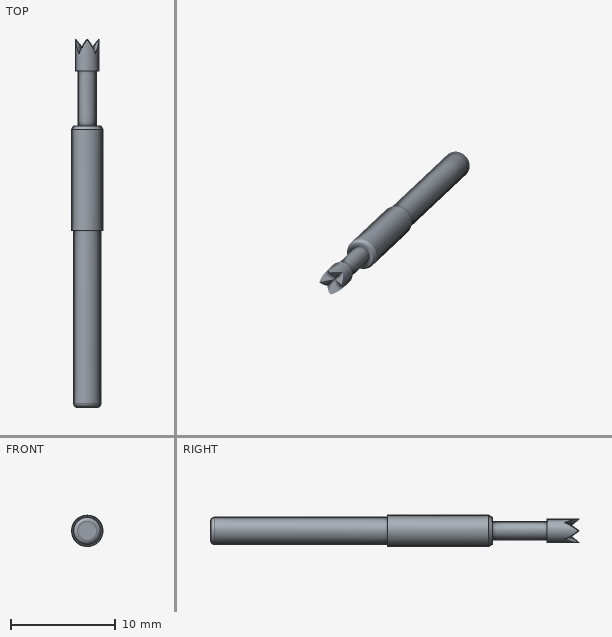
import cadquery as cq
import math

length = 35.3
sleeve_diameter = 3.0
sleeve_radius = sleeve_diameter / 2
barrel_radius = 1.3
plunger_radius = 0.9
crown_radius = 1.13

crown_length = 3.05
sleeve_start = 8.3
sleeve_end = 18.35

sleeve_chamfer_length = 0.35
sleeve_chamfer_inset = 0.2
end_round = 0.4
tooth_depth = 1.35


def rod(radius, start, end):
    """Round bar along Y between two distances from the crown tips."""
    plane = cq.Workplane("XZ", origin=(0, length - start, 0))
    return plane.circle(radius).extrude(end - start)


def make_sleeve():
    sleeve = rod(sleeve_radius, sleeve_start, sleeve_end)
    return sleeve.faces(">Y").chamfer(sleeve_chamfer_length, sleeve_chamfer_inset)


def make_barrel():
    return rod(barrel_radius, sleeve_end, length).faces("<Y").edges().fillet(end_round)


def make_crown():
    """Head with four teeth left by two crossing V grooves."""
    crown = rod(crown_radius, 0, crown_length)
    tip_offset = crown_radius * math.sin(math.radians(45))
    groove_half_width = 2 * tip_offset
    groove_bottom = length - tooth_depth
    groove_top = groove_bottom + 2 * tooth_depth
    groove = (
        cq.Workplane("XY")
        .moveTo(0, groove_bottom)
        .lineTo(groove_half_width, groove_top)
        .lineTo(-groove_half_width, groove_top)
        .close()
        .extrude(2 * crown_radius, both=True)
    )
    for angle in (45, 135):
        crown = crown.cut(groove.rotate((0, 0, 0), (0, 1, 0), angle))
    return crown


plunger = rod(plunger_radius, crown_length, sleeve_start)

result = make_barrel().union(make_sleeve()).union(plunger).union(make_crown())